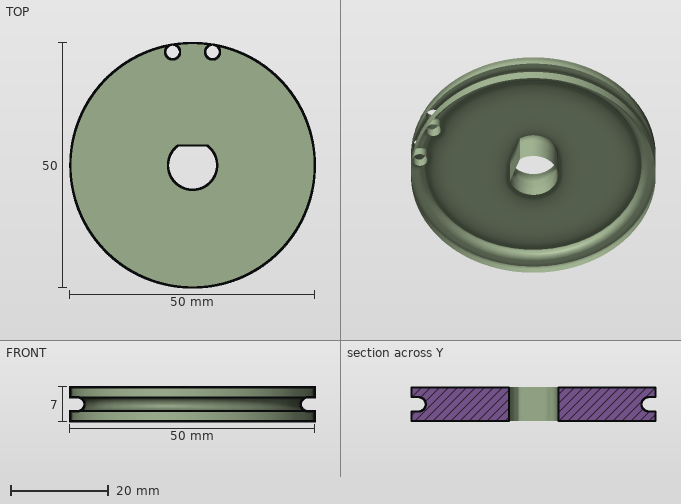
import cadquery as cq
import math

disc_radius = 25.0
thickness = 7.0

groove_width = 2.8
groove_wall_radius = 23.5
groove_floor_radius = groove_wall_radius - groove_width / 2

bore_radius = 5.0
flat_distance = 4.0

rim_hole_radius = 1.5
rim_hole_pitch_radius = 23.5
rim_hole_angle = 10.0


def grooved_disc():
    """Revolve the half section of the disc about Z."""
    mid_height = thickness / 2
    groove_bottom = mid_height - groove_width / 2
    groove_top = mid_height + groove_width / 2
    return (
        cq.Workplane("XZ")
        .lineTo(disc_radius, 0)
        .lineTo(disc_radius, groove_bottom)
        .lineTo(groove_wall_radius, groove_bottom)
        .threePointArc((groove_floor_radius, mid_height), (groove_wall_radius, groove_top))
        .lineTo(disc_radius, groove_top)
        .lineTo(disc_radius, thickness)
        .lineTo(0, thickness)
        .close()
        .revolve(360, (0, 0), (0, 1))
    )


def shaft_bore():
    """Round bore cutter trimmed by the flat."""
    half_flat = math.sqrt(bore_radius**2 - flat_distance**2)
    return (
        cq.Workplane("XY")
        .moveTo(-half_flat, flat_distance)
        .threePointArc((0, -bore_radius), (half_flat, flat_distance))
        .close()
        .extrude(thickness)
    )


def rim_hole(angle):
    """Through-hole cutter at an angle measured from +Y."""
    x = rim_hole_pitch_radius * math.sin(math.radians(angle))
    y = rim_hole_pitch_radius * math.cos(math.radians(angle))
    return cq.Workplane("XY").center(x, y).circle(rim_hole_radius).extrude(thickness)


result = grooved_disc().cut(shaft_bore())
for angle in (-rim_hole_angle, rim_hole_angle):
    result = result.cut(rim_hole(angle))